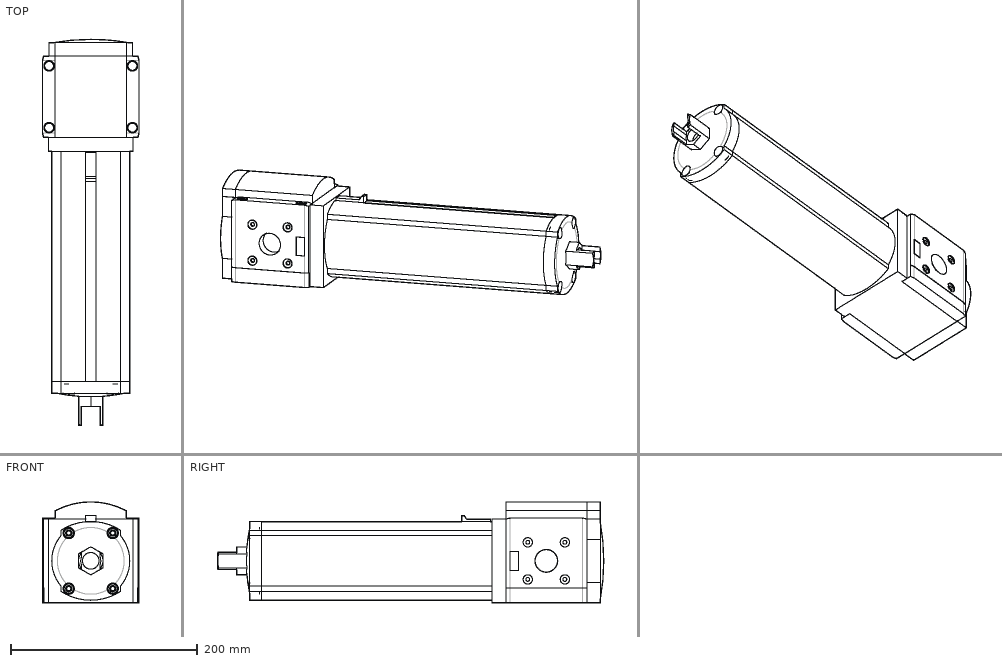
import cadquery as cq
import math


overall_length = 415.0
overall_width = 104.0
head_half_height = 45.2

block_half_width = 38.0
crown_top = 63.5
crown_shoulder = 54.0
flange_half_width = 45.5
flange_length = 15.0
port_diameter = 24.0

plate_length = 87.0
plate_outer = overall_width / 2
plate_top = 46.0
plate_bevel_length = 4.5
plate_bevel_depth = 1.2
foot_height = 16.0
foot_step = 0.5
tab_length = 9.0
tab_height = 20.5
tab_depth = 0.5
tab_end = plate_length / 2 - plate_bevel_length
mount_spacing = 40.0
mount_diameter = 10.0
mount_core_diameter = 4.0
mount_depth = 1.2
mount_core_depth = 3.5
clamp_spacing = 66.5
clamp_position = 45.0
clamp_diameter = 11.0
clamp_core_diameter = 9.5
clamp_depth = 1.2
clamp_core_depth = 2.0

back_cap_length = 14.5
dome_height = 3.7
dome_radius = 41.5
bulge_diameter = 90.0
cap_base_half_width = 38.5

bowl_length = 247.5
end_cap_length = 13.0
bowl_radius = 42.0
bowl_half_height = 42.5
shoulder_half_width = 32.0
shoulder_height = 32.8
groove_width = 11.0
groove_depth = 1.0

latch_gap = 1.2
latch_length = 31.0
latch_height = 45.0
latch_tip_height = 48.5
latch_tip_length = 3.0
latch_ramp_length = 2.5

end_dome_diameter = 72.0
end_dome_height = 3.7
hex_across_flats = 26.0
fork_length = 20.5
fork_gap = 20.0
fork_bore_diameter = 21.5
drain_bore_diameter = 18.0
drain_bore_depth = 8.5
fork_bevel = 1.2

screw_x = 23.5
screw_z = 30.0
screw_hole_diameter = 12.0
screw_hole_depth = 10.5
head_diameter = 10.0
head_rim_diameter = 6.5
head_height = 3.5
head_bevel = (head_diameter - head_rim_diameter) / 2
socket_across_corners = 5.0
socket_depth = 2.0
shank_diameter = 6.5
shank_length = 20.8

plate_back = plate_length / 2
back_cap_face = plate_back + back_cap_length
back_tip = back_cap_face + dome_height
plate_front = -plate_length / 2
flange_front = plate_front - flange_length
bowl_front = flange_front - bowl_length
end_cap_front = bowl_front - end_cap_length
drain_tip = back_tip - overall_length
fork_floor = drain_tip + fork_length
screw_seat = end_cap_front + screw_hole_depth
screw_places = [(x, z) for x in (-screw_x, screw_x) for z in (-screw_z, screw_z)]


def section_at(y):
    """Sketch plane at the given Y: local x is X, local y is Z, and extruding goes towards -Y."""
    return cq.Workplane("XZ", origin=(0, y, 0))


def box_between(x_range, y_range, z_range):
    """Box given by its limits along each axis."""
    size = [high - low for low, high in (x_range, y_range, z_range)]
    return cq.Workplane("XY", origin=(x_range[0], y_range[0], z_range[0])).box(*size, centered=False)


def crowned_block(y_back, length):
    """Block with a flat base and an arched top."""
    return (
        section_at(y_back)
        .moveTo(-block_half_width, -head_half_height)
        .lineTo(block_half_width, -head_half_height)
        .lineTo(block_half_width, crown_shoulder)
        .threePointArc((0, crown_top), (-block_half_width, crown_shoulder))
        .close()
        .extrude(length)
    )


def spherical_dome(base_y, base_radius, height, direction):
    """Shallow dome about the Y axis that rises from base_y towards +Y (1) or -Y (-1)."""
    sphere_radius = (base_radius**2 + height**2) / (2 * height)
    half_angle = math.asin(base_radius / sphere_radius) / 2
    sphere_centre = base_y + direction * (height - sphere_radius)
    mid_point = (
        sphere_radius * math.sin(half_angle),
        sphere_centre + direction * sphere_radius * math.cos(half_angle),
    )
    return (
        cq.Workplane("XY")
        .moveTo(0, base_y)
        .lineTo(base_radius, base_y)
        .threePointArc(mid_point, (0, base_y + direction * height))
        .close()
        .revolve(360, (0, 0, 0), (0, 1, 0))
    )


def port_bore():
    """Port that passes through the whole head along X."""
    return cq.Workplane("YZ").circle(port_diameter / 2).extrude(plate_outer, both=True)


def make_housing():
    block = crowned_block(plate_back, plate_length)
    flange = box_between(
        (-flange_half_width, flange_half_width),
        (flange_front, plate_front),
        (-head_half_height, head_half_height),
    )
    return block.union(flange).cut(port_bore())


def make_back_cap():
    block = crowned_block(back_cap_face, back_cap_length)
    bulge = section_at(back_cap_face).circle(bulge_diameter / 2).extrude(back_cap_length)
    base = box_between(
        (-cap_base_half_width, cap_base_half_width),
        (plate_back, back_cap_face),
        (-head_half_height, head_half_height),
    )
    dome = spherical_dome(back_cap_face, dome_radius, dome_height, 1)
    return block.union(base).union(bulge).union(dome)


def bevelled_profile(base, crest):
    """Points of a plate section along its length: flat base, crest with bevelled ends."""
    half = plate_length / 2
    return [
        (-half, base),
        (half, base),
        (half, crest - plate_bevel_depth),
        (half - plate_bevel_length, crest),
        (-half + plate_bevel_length, crest),
        (-half, crest - plate_bevel_depth),
    ]


def bevelled_slab(outer_x, z_range):
    """Slab against the block whose outer face has bevelled front and back ends."""
    profile = [(x, y) for y, x in bevelled_profile(block_half_width, outer_x)]
    slab = cq.Workplane("XY", origin=(0, 0, z_range[0])).polyline(profile).close()
    return slab.extrude(z_range[1] - z_range[0])


def make_right_plate():
    foot_top = -head_half_height + foot_height
    plate = bevelled_slab(plate_outer, (foot_top, plate_top))
    foot = bevelled_slab(plate_outer - foot_step, (-head_half_height, foot_top))
    top_bevel = (
        cq.Workplane("YZ")
        .polyline(bevelled_profile(-head_half_height, plate_top))
        .close()
        .extrude(plate_outer)
    )
    plate = plate.union(foot).intersect(top_bevel).cut(port_bore())

    outer_face = cq.Workplane("YZ", origin=(plate_outer, 0, 0))
    mounts = outer_face.rect(mount_spacing, mount_spacing, forConstruction=True).vertices()
    plate = plate.cut(mounts.circle(mount_diameter / 2).extrude(-mount_depth))
    plate = plate.cut(mounts.circle(mount_core_diameter / 2).extrude(-mount_core_depth))

    clamp_places = [(clamp_position, y) for y in (-clamp_spacing / 2, clamp_spacing / 2)]
    top_face = cq.Workplane("XY", origin=(0, 0, plate_top)).pushPoints(clamp_places)
    plate = plate.cut(top_face.circle(clamp_diameter / 2).extrude(-clamp_depth))
    plate = plate.cut(top_face.circle(clamp_core_diameter / 2).extrude(-clamp_core_depth))

    tab = box_between(
        (plate_outer - tab_depth, plate_outer),
        (-tab_end, -tab_end + tab_length),
        (-tab_height / 2, tab_height / 2),
    )
    return plate.cut(tab)


def bowl_section(y_back, length):
    """Prism with the outline shared by the bowl and the end cap."""
    flank_height = math.sqrt(bowl_radius**2 - shoulder_half_width**2)
    return (
        section_at(y_back)
        .moveTo(shoulder_half_width, -flank_height)
        .threePointArc((bowl_radius, 0), (shoulder_half_width, flank_height))
        .lineTo(shoulder_half_width, shoulder_height)
        .threePointArc((0, bowl_half_height), (-shoulder_half_width, shoulder_height))
        .lineTo(-shoulder_half_width, flank_height)
        .threePointArc((-bowl_radius, 0), (-shoulder_half_width, -flank_height))
        .lineTo(-shoulder_half_width, -shoulder_height)
        .threePointArc((0, -bowl_half_height), (shoulder_half_width, -shoulder_height))
        .close()
        .extrude(length)
    )


def screw_shanks():
    """Shank cylinders from the screw seats into the bowl, also used to cut their holes."""
    shanks = section_at(screw_seat).pushPoints(screw_places)
    return shanks.circle(shank_diameter / 2).extrude(-shank_length)


def make_latch():
    """Sliding latch with a ramped finger grip at its front end."""
    back = flange_front - latch_gap
    front = back - latch_length
    grip_back = front + latch_tip_length
    floor = bowl_half_height - groove_depth
    return (
        cq.Workplane("YZ")
        .moveTo(back, floor)
        .lineTo(back, latch_height)
        .lineTo(grip_back + latch_ramp_length, latch_height)
        .lineTo(grip_back, latch_tip_height)
        .lineTo(front, latch_tip_height)
        .lineTo(front, floor)
        .close()
        .extrude(groove_width / 2, both=True)
    )


def make_bowl():
    bowl = bowl_section(flange_front, bowl_length)
    groove = box_between(
        (-groove_width / 2, groove_width / 2),
        (bowl_front, flange_front),
        (bowl_half_height - groove_depth, bowl_half_height),
    )
    return bowl.cut(groove).union(make_latch()).cut(screw_shanks())


def make_drain():
    """Hexagonal drain with a slot that leaves two fork arms and a bore in the slot floor."""
    hex_across_corners = hex_across_flats / math.cos(math.pi / 6)
    hexagon = (
        section_at(end_cap_front)
        .transformed(rotate=(0, 0, 90))
        .polygon(6, hex_across_corners)
        .extrude(end_cap_front - drain_tip)
    )
    turned_end = (
        section_at(end_cap_front)
        .circle(hex_across_corners / 2)
        .extrude(end_cap_front - drain_tip)
        .faces("<Y")
        .chamfer(fork_bevel, hex_across_corners / 2 - hex_across_flats / 2)
    )
    slot = box_between(
        (-fork_gap / 2, fork_gap / 2),
        (drain_tip, fork_floor),
        (-hex_across_corners / 2, hex_across_corners / 2),
    )
    fork_bore = section_at(fork_floor).circle(fork_bore_diameter / 2).extrude(fork_length)
    drain_bore = section_at(fork_floor).circle(drain_bore_diameter / 2).extrude(-drain_bore_depth)
    return hexagon.intersect(turned_end).cut(slot).cut(fork_bore).cut(drain_bore)


def make_end_cap():
    cap = bowl_section(bowl_front, end_cap_length)
    dome = spherical_dome(end_cap_front, end_dome_diameter / 2, end_dome_height, -1)
    hole_length = screw_hole_depth + end_dome_height
    screw_holes = (
        section_at(screw_seat)
        .pushPoints(screw_places)
        .circle(screw_hole_diameter / 2)
        .extrude(hole_length)
    )
    return cap.union(dome).cut(screw_holes).cut(screw_shanks()).union(make_drain())


def make_screw(x, z):
    """Socket screw whose head rests on its seat in the end cap."""
    seat = section_at(screw_seat).center(x, z)
    head = seat.circle(head_diameter / 2).extrude(head_height).faces("<Y").chamfer(head_bevel)
    shank = seat.circle(shank_diameter / 2).extrude(-shank_length)
    socket_floor = section_at(screw_seat - head_height + socket_depth).center(x, z)
    socket = socket_floor.polygon(6, socket_across_corners).extrude(socket_depth)
    return head.union(shank).cut(socket)


housing = make_housing()
back_cap = make_back_cap()
right_plate = make_right_plate()
left_plate = right_plate.mirror("YZ")
bowl = make_bowl()
end_cap = make_end_cap()
screws = [make_screw(x, z) for x, z in screw_places]

bodies = [housing, back_cap, right_plate, left_plate, bowl, end_cap, *screws]
result = cq.Compound.makeCompound([body.solids().val() for body in bodies])